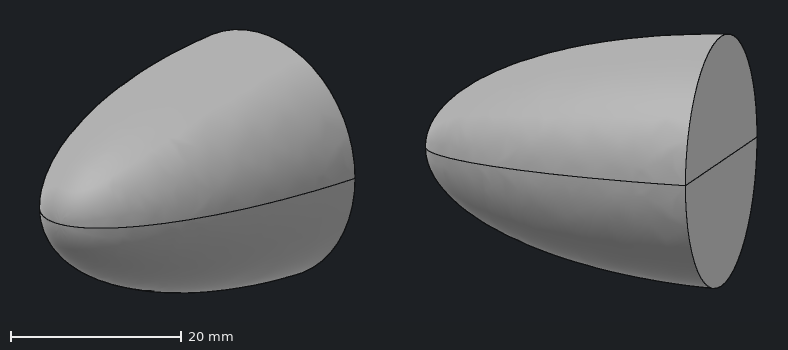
import cadquery as cq
import math

LENGTH = 36.0
BASE_DIAMETER = 30.0
SEMI_LENGTH = 40.0

BASE_RADIUS = BASE_DIAMETER / 2
CENTER_Y = SEMI_LENGTH - LENGTH
SEMI_WIDTH = BASE_RADIUS / math.sqrt(1 - (CENTER_Y / SEMI_LENGTH) ** 2)

TIP_ANGLE = 270
RIM_ANGLE = 360 - math.degrees(math.asin(CENTER_Y / SEMI_LENGTH))
HALF_TURN = 180


def nose_half():
    """Half of the nose on one side of Z = 0: base on Y = 0, tip on -Y, flat split face on Z = 0."""
    half_profile = (
        cq.Workplane("XY")
        .center(0, CENTER_Y)
        .ellipseArc(SEMI_WIDTH, SEMI_LENGTH, TIP_ANGLE, RIM_ANGLE, startAtCurrent=False)
        .lineTo(0, -CENTER_Y)
        .close()
    )
    return half_profile.revolve(HALF_TURN, (0, 0, 0), (0, 1, 0))


nose_halves = [
    nose_half().rotate((0, 0, 0), (0, 1, 0), turn).val()
    for turn in (0, HALF_TURN)
]

result = cq.Compound.makeCompound(nose_halves)